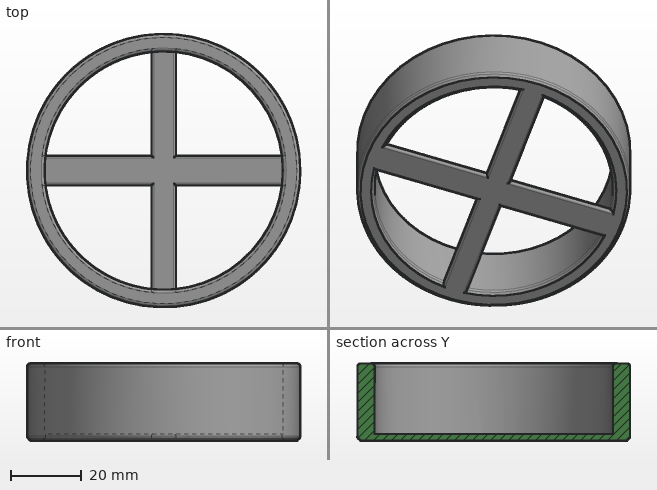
import cadquery as cq

outer_diameter = 77.5
inner_diameter = 67.5
ring_height = 22.0
top_round = 1.0
bottom_chamfer = 1.0
bottom_blend = 1.0

bar_width_x = 8.5
bar_width_y = 7.0
bar_thickness = 2.0
bar_round = 0.7


def make_ring():
    """Ring with rounded top edges and bottom edges that are chamfered, then blended into the walls."""
    ring = (
        cq.Workplane("XY")
        .circle(outer_diameter / 2)
        .circle(inner_diameter / 2)
        .extrude(ring_height)
    )
    ring = ring.faces(">Z").edges().fillet(top_round)
    ring = ring.faces("<Z").edges().chamfer(bottom_chamfer)

    below = bottom_chamfer / 2
    above = bottom_chamfer * 3 / 2
    chamfer_top_edges = cq.selectors.BoxSelector(
        (-outer_diameter, -outer_diameter, below),
        (outer_diameter, outer_diameter, above),
        boundingbox=True,
    )
    return ring.edges("%CIRCLE").edges(chamfer_top_edges).fillet(bottom_blend)


def make_cross():
    """Two crossing bars with rounded top and bottom edges, ending inside the ring wall."""
    bar_length = (outer_diameter + inner_diameter) / 2
    along_x = cq.Workplane("XY").rect(bar_length, bar_width_x).extrude(bar_thickness)
    along_y = cq.Workplane("XY").rect(bar_width_y, bar_length).extrude(bar_thickness)
    cross = along_x.union(along_y)
    return cross.faces("<Z or >Z").edges().fillet(bar_round)


result = make_ring().union(make_cross())